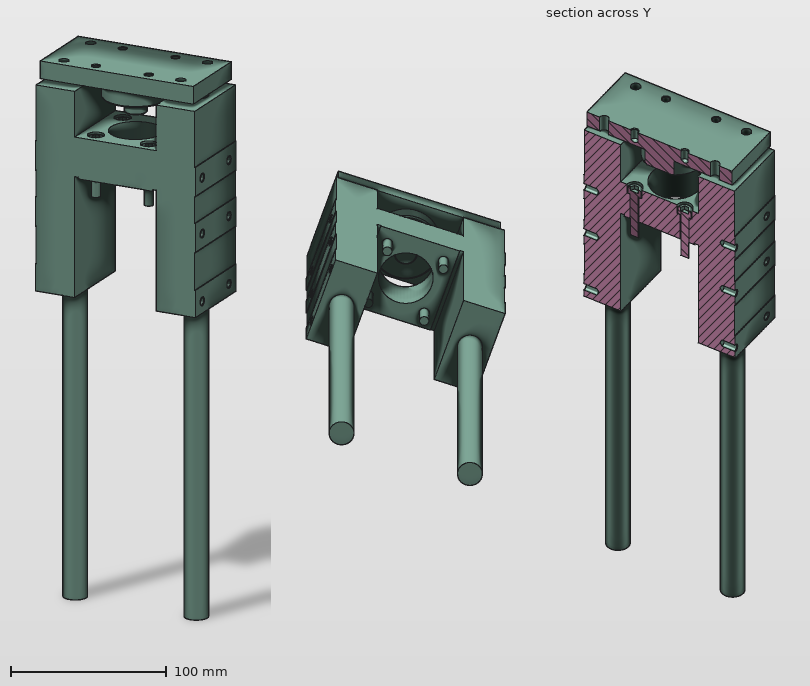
import cadquery as cq
import math

HOUSING_WIDTH = 115
HOUSING_DEPTH = 58
HOUSING_HEIGHT = 140
ARM_GAP = 58.5
CROSSBAR_TOP = -31
CROSSBAR_HEIGHT = 28
CROSSBAR_BOTTOM = CROSSBAR_TOP - CROSSBAR_HEIGHT
UNDERCUT_WIDTH = 2.5
UNDERCUT_DEPTH = 1
PISTON_BORE_DIAMETER = 35

RECESS_DEPTH = 0.5
SIDE_RECESSES = [(0, 38), (58, 76), (96, 121.5)]

SIDE_HOLE_DEPTHS = [48, 86, 132]

PATTERN_PITCH = 38
THREAD_HOLE_DIAMETER = 4.92
THREAD_MOUTH_DIAMETER = 6
SIDE_HOLE_LENGTH = 10
PLATE_HOLE_LENGTH = 8
DRILL_POINT_ANGLE = 118

PLATE_WIDTH = 110
PLATE_DEPTH = 54
PLATE_THICKNESS = 12
PLATE_GAP = 4
CLEARANCE_HOLE_DIAMETER = 6.6
CLEARANCE_HOLE_SPACING = 84
COUPLING_DIAMETER = 44
COUPLING_HEIGHT = 12
COUPLING_CHAMFER = 1
STUD_DIAMETER = 15
STUD_LENGTH = 10
STUD_CHAMFER = 0.7
ROD_DIAMETER = 16
ROD_SPACING = 87
OVERALL_HEIGHT = 370

SCREW_DIAMETER = 6
SCREW_HEAD_DIAMETER = 10
SCREW_HEAD_HEIGHT = 6
SCREW_PROJECTION = 13.5
SOCKET_WIDTH = 5
SOCKET_DEPTH = 3
SCREW_HEAD_FILLET = 1
COUNTERBORE_DIAMETER = 11
COUNTERBORE_DEPTH = 7

PLATE_BOTTOM = PLATE_GAP
PLATE_TOP = PLATE_BOTTOM + PLATE_THICKNESS
ROD_LENGTH = OVERALL_HEIGHT - PLATE_THICKNESS
ROD_POSITIONS = (-ROD_SPACING / 2, ROD_SPACING / 2)
SCREW_SEAT = CROSSBAR_TOP - COUNTERBORE_DEPTH
HALF_PITCH = PATTERN_PITCH / 2
SCREW_POINTS = [(x, y) for x in (-HALF_PITCH, HALF_PITCH) for y in (-HALF_PITCH, HALF_PITCH)]


def box_between(width, depth, top, bottom):
    """Box centred on the Z axis between two heights."""
    return cq.Workplane("XY").workplane(offset=bottom).rect(width, depth).extrude(top - bottom)


def cylinder_down(diameter, top, length, points=((0, 0),)):
    """Vertical cylinders that run downward from a height."""
    return cq.Workplane("XY").workplane(offset=top).pushPoints(points).circle(diameter / 2).extrude(-length)


def make_housing():
    """H-shaped block with rod bores, a piston bore and seats for the screws."""
    half_width = HOUSING_WIDTH / 2
    housing = box_between(HOUSING_WIDTH, HOUSING_DEPTH, 0, -HOUSING_HEIGHT)
    housing = housing.cut(box_between(ARM_GAP, HOUSING_DEPTH, 0, CROSSBAR_TOP))
    housing = housing.cut(box_between(ARM_GAP, HOUSING_DEPTH, CROSSBAR_BOTTOM, -HOUSING_HEIGHT))
    undercut_x = (ARM_GAP - UNDERCUT_WIDTH) / 2
    undercut = box_between(UNDERCUT_WIDTH, HOUSING_DEPTH, CROSSBAR_BOTTOM + UNDERCUT_DEPTH, CROSSBAR_BOTTOM)
    for side in (-1, 1):
        housing = housing.cut(undercut.translate((side * undercut_x, 0, 0)))
    for upper, lower in SIDE_RECESSES:
        recess = box_between(2 * RECESS_DEPTH, HOUSING_DEPTH, -upper, -lower)
        for side in (-1, 1):
            housing = housing.cut(recess.translate((side * half_width, 0, 0)))
    housing = cut_side_holes(housing)
    housing = housing.cut(cylinder_down(PISTON_BORE_DIAMETER, CROSSBAR_TOP, CROSSBAR_HEIGHT))
    housing = housing.cut(cylinder_down(COUNTERBORE_DIAMETER, CROSSBAR_TOP, COUNTERBORE_DEPTH, SCREW_POINTS))
    housing = housing.cut(cylinder_down(CLEARANCE_HOLE_DIAMETER, CROSSBAR_TOP, CROSSBAR_HEIGHT, SCREW_POINTS))
    rod_points = [(x, 0) for x in ROD_POSITIONS]
    return housing.cut(cylinder_down(ROD_DIAMETER, 0, HOUSING_HEIGHT, rod_points))


def threaded_hole(length):
    """Cutter for a blind threaded hole down from the origin: bevelled mouth and conical drill point."""
    radius = THREAD_HOLE_DIAMETER / 2
    mouth_radius = THREAD_MOUTH_DIAMETER / 2
    bevel = mouth_radius - radius
    point_length = radius / math.tan(math.radians(DRILL_POINT_ANGLE / 2))
    profile = [
        (0, 0),
        (mouth_radius, 0),
        (radius, -bevel),
        (radius, -length),
        (0, -length - point_length),
    ]
    return cq.Workplane("XZ").polyline(profile).close().revolve(360, (0, 0, 0), (0, 1, 0))


def cut_side_holes(housing):
    """Cut the threaded holes into both outer arm faces."""
    upright = threaded_hole(SIDE_HOLE_LENGTH)
    for side in (-1, 1):
        sideways = upright.rotate((0, 0, 0), (0, 1, 0), side * 90)
        for depth in SIDE_HOLE_DEPTHS:
            for y in (-HALF_PITCH, HALF_PITCH):
                housing = housing.cut(sideways.translate((side * HOUSING_WIDTH / 2, y, -depth)))
    return housing


def make_yoke():
    """Plate with the piston coupling and both guide rods as one piece."""
    plate = box_between(PLATE_WIDTH, PLATE_DEPTH, PLATE_TOP, PLATE_BOTTOM)
    clearance_x = CLEARANCE_HOLE_SPACING / 2
    clearance_points = [(x, y) for x in (-clearance_x, clearance_x) for y in (-HALF_PITCH, HALF_PITCH)]
    plate = plate.cut(cylinder_down(CLEARANCE_HOLE_DIAMETER, PLATE_TOP, PLATE_THICKNESS, clearance_points))
    for x, y in SCREW_POINTS:
        plate = plate.cut(threaded_hole(PLATE_HOLE_LENGTH).translate((x, y, PLATE_TOP)))
    coupling = cylinder_down(COUPLING_DIAMETER, PLATE_BOTTOM, COUPLING_HEIGHT)
    coupling = coupling.faces("<Z").chamfer(COUPLING_CHAMFER)
    stud = cylinder_down(STUD_DIAMETER, PLATE_BOTTOM - COUPLING_HEIGHT, STUD_LENGTH)
    stud = stud.faces("<Z").chamfer(STUD_CHAMFER)
    yoke = plate.union(coupling).union(stud)
    for x in ROD_POSITIONS:
        yoke = yoke.union(cylinder_down(ROD_DIAMETER, PLATE_BOTTOM, ROD_LENGTH, [(x, 0)]))
    return yoke


def make_screw(x, y):
    """Socket head screw seated in a counterbore of the crossbar."""
    head_top = SCREW_SEAT + SCREW_HEAD_HEIGHT
    tip = CROSSBAR_BOTTOM - SCREW_PROJECTION
    screw = cylinder_down(SCREW_HEAD_DIAMETER, head_top, SCREW_HEAD_HEIGHT)
    screw = screw.faces(">Z").edges().fillet(SCREW_HEAD_FILLET)
    screw = screw.union(cylinder_down(SCREW_DIAMETER, SCREW_SEAT, SCREW_SEAT - tip))
    socket_corners = SOCKET_WIDTH / math.cos(math.radians(30))
    socket = cq.Workplane("XY").workplane(offset=head_top).polygon(6, socket_corners).extrude(-SOCKET_DEPTH)
    return screw.cut(socket).translate((x, y, 0))


housing = make_housing()
yoke = make_yoke()
screws = [make_screw(x, y) for x, y in SCREW_POINTS]

result = cq.Compound.makeCompound([housing.val(), yoke.val(), *[screw.val() for screw in screws]])